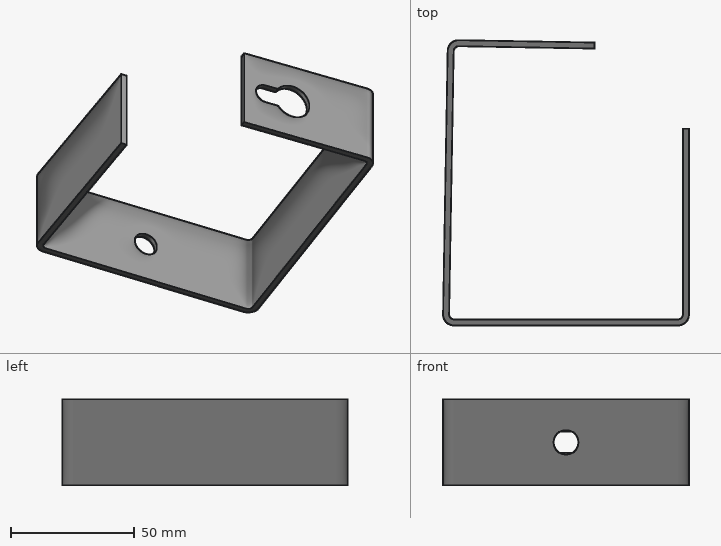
import cadquery as cq
import math

width = 99.9
depth = 115.9
height = 35.0
thickness = 2.5
inner_radius = 2.0
outer_radius = inner_radius + thickness

lean = math.radians(1)
right_wall_end = 80.0
flange_length = 55.2

front_hole_diameter = 10.0
keyhole_diameter = 15.3
keyhole_slot_width = 8.5
keyhole_slot_reach = 12.0
keyhole_position = 33.5

front_left = cq.Vector(outer_radius, outer_radius)
front_right = cq.Vector(width - outer_radius, outer_radius)
back_rise = depth - 2 * outer_radius
back_left = front_left + cq.Vector(back_rise * math.tan(lean), back_rise)

flange_direction = cq.Vector(math.cos(lean), -math.sin(lean))
flange_normal = cq.Vector(math.sin(lean), math.cos(lean))


def sharp_face_line(offset):
    """Corners of one strip face, flange tip to right wall end, offset from the bend centres."""
    flange_tip = back_left + flange_direction * flange_length + flange_normal * offset
    back_corner = back_left + (flange_normal - flange_direction) * offset
    left_shift = offset * (1 + math.sin(lean)) / math.cos(lean)
    left_corner = front_left - cq.Vector(left_shift, offset)
    right_corner = front_right + cq.Vector(offset, -offset)
    right_tip = cq.Vector(front_right.x + offset, right_wall_end)
    return [flange_tip, back_corner, left_corner, right_corner, right_tip]


def round_bends(strip, corners, radius):
    """Round the three bend edges standing on one strip face."""
    for corner in corners[1:-1]:
        edge = cq.selectors.NearestToPointSelector((corner.x, corner.y, 0))
        strip = strip.edges("|Z").edges(edge).fillet(radius)
    return strip


def make_strip():
    outer = sharp_face_line(outer_radius)
    inner = sharp_face_line(inner_radius)
    outline = [(point.x, point.y) for point in outer + inner[::-1]]
    strip = cq.Workplane("XY").polyline(outline).close().extrude(height / 2, both=True)
    strip = round_bends(strip, outer, outer_radius)
    return round_bends(strip, inner, inner_radius)


def make_front_hole():
    plane = cq.Plane(origin=(width / 2, 0, 0), xDir=(1, 0, 0), normal=(0, 1, 0))
    return cq.Workplane(plane).circle(front_hole_diameter / 2).extrude(thickness)


def make_keyhole():
    """Big round hole with a narrower round-ended slot toward the flange tip."""
    origin = back_left + flange_direction * keyhole_position + flange_normal * inner_radius
    face = cq.Workplane(cq.Plane(origin=origin, xDir=flange_direction, normal=flange_normal))
    big_hole = face.circle(keyhole_diameter / 2).extrude(thickness)
    slot_length = keyhole_slot_reach + keyhole_slot_width
    slot_face = face.center(keyhole_slot_reach / 2, 0)
    slot = slot_face.slot2D(slot_length, keyhole_slot_width).extrude(thickness)
    return big_hole.union(slot)


result = make_strip().cut(make_front_hole()).cut(make_keyhole())